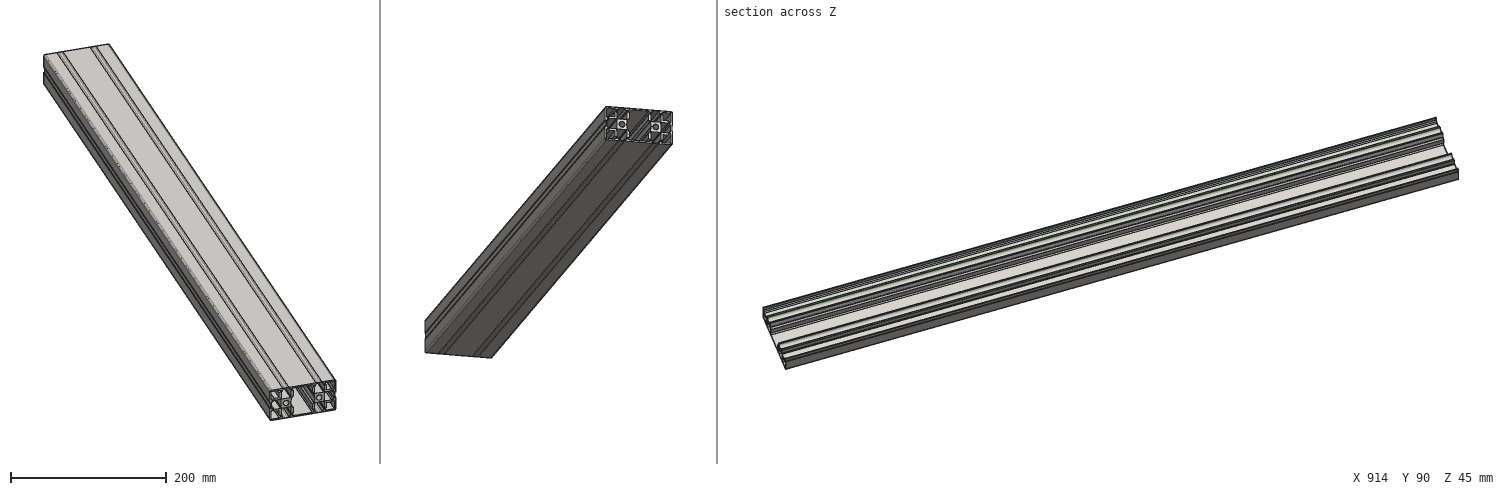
import cadquery as cq
length = 914.0
height = 45.0
width = 2 * height
corner_radius = 3.0
wall = 2.0

bore_diameter = 7.5
core_half = 6.9

slot_half = 6.7
floor_chamfer = 1.0
shoulder_depth = 6.0
mouth_half = 4.1
mouth_depth = 1.0

relief_half = 2.0
relief_skin = 0.55

web = 2.9
neck_half = 6.0
neck_depth = 4.0

groove_depth = 1.0
groove_half = mouth_half
groove_skin = 2.0

waist_half = 8.7
waist_step = 2.3
waist_dip = 4.0

square_half = height / 2
core_offset = width / 4
casing_half = slot_half + web

web_flank = [
    (casing_half, square_half - wall),
    (neck_half, square_half - neck_depth),
    (casing_half, square_half - shoulder_depth),
]


def shift(points, y_shift):
    return [(y + y_shift, z) for y, z in points]


def mirror(points, y_sign, z_sign):
    """Mirror outline points by the given signs."""
    return [(y_sign * y, z_sign * z) for y, z in points]


def with_mirror(right):
    """Complete an outline that is symmetric about the Z axis."""
    return right + [(-y, z) for y, z in reversed(right)]


def slot_wall(mouth_level):
    """Right side of a slot above its core, with its mouth at the given depth."""
    return [
        (slot_half - floor_chamfer, core_half),
        (slot_half, core_half + floor_chamfer),
        (slot_half, square_half - shoulder_depth),
        (mouth_half, square_half - mouth_level),
    ]


def wide_face_slot():
    """Slot behind the top face, with the relief in its ceiling."""
    return with_mirror(slot_wall(mouth_depth) + [(relief_half, square_half - relief_skin)])


def narrow_face_slot():
    """Slot behind the +Y face, with a flat ceiling under the groove."""
    upright = with_mirror(slot_wall(groove_depth + groove_skin))
    return [(z, y) for y, z in upright]


def corner_cavity():
    """Cavity in the +Y +Z corner of a square, symmetric about the diagonal."""
    apex = (casing_half, casing_half)
    corner = (square_half - wall, square_half - wall)
    side_flank = [(z, y) for y, z in reversed(web_flank)]
    return web_flank + [apex] + side_flank + [corner]


def middle_cavity():
    """Large cavity between the two cores, symmetric about both axes."""
    web_face = core_offset - casing_half
    upper_right = [(core_offset - y, z) for y, z in web_flank] + [
        (web_face, waist_half),
        (web_face + waist_step, waist_half - waist_step),
    ]
    tip = (web_face + waist_dip, 0)
    lower_right = [(y, -z) for y, z in reversed(upper_right)]
    return with_mirror(upper_right + [tip] + lower_right)


def make_cavities():
    """All through-cavities of the section except the round bores."""
    cavities = [middle_cavity()]
    for side in (1, -1):
        offset = side * core_offset
        cavities.append(shift(mirror(narrow_face_slot(), side, 1), offset))
        for up in (1, -1):
            cavities.append(shift(mirror(wide_face_slot(), side, up), offset))
            cavities.append(shift(mirror(corner_cavity(), side, up), offset))
    return cavities


def extrude_full(section):
    """Extrude a YZ section over the whole length, centred on X."""
    return section.extrude(length / 2, both=True)


bar = extrude_full(cq.Workplane("YZ").rect(width, height)).edges("|X").fillet(corner_radius)

hollow = cq.Workplane("YZ")
for points in make_cavities():
    hollow = hollow.polyline(points).close()
hollow = hollow.pushPoints([(core_offset, 0), (-core_offset, 0)]).circle(bore_diameter / 2)
bar = bar.cut(extrude_full(hollow))

grooves = cq.Workplane("YZ").pushPoints([(width / 2, 0), (-width / 2, 0)])
grooves = grooves.rect(2 * groove_depth, 2 * groove_half)
result = bar.cut(extrude_full(grooves))